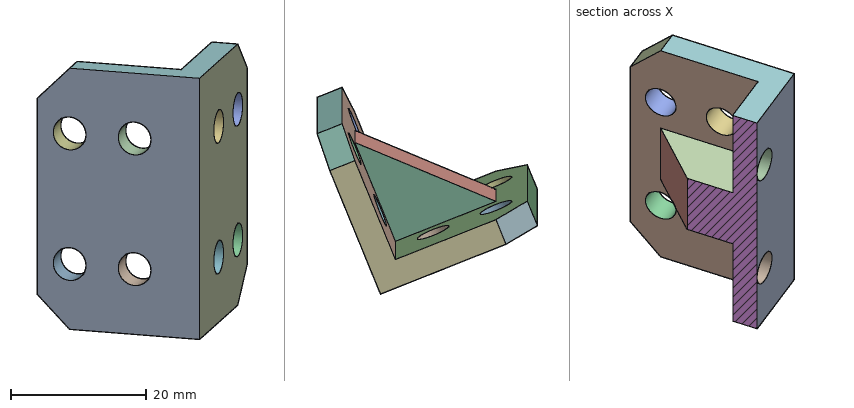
import cadquery as cq

height = 40.0
leg = 25.0
thickness = 4.0
corner_cut = 5.0

hole_diameter = 5.0
hole_edge_distance = 5.0
hole_spacing_across = 10.0
hole_spacing_along = 20.0

gusset_height = 10.0
gusset_leg = leg - thickness - corner_cut


def front_plate():
    """Plate in the XZ plane, free edge at X = 0, outer face at Y = 0."""
    outline = [
        (corner_cut, 0),
        (leg, 0),
        (leg, height),
        (corner_cut, height),
        (0, height - corner_cut),
        (0, corner_cut),
    ]
    plate = cq.Workplane("XZ").polyline(outline).close().extrude(-thickness)
    hole_centers = [
        (hole_edge_distance + across, height / 2 + along)
        for across in (0, hole_spacing_across)
        for along in (-hole_spacing_along / 2, hole_spacing_along / 2)
    ]
    holes = (
        cq.Workplane("XZ")
        .pushPoints(hole_centers)
        .circle(hole_diameter / 2)
        .extrude(-thickness)
    )
    return plate.cut(holes)


def side_plate():
    """Front plate mirrored across the diagonal plane through the corner."""
    corner = (leg, 0, 0)
    turned = front_plate().rotate(corner, (leg, 0, 1), -90)
    return turned.mirror("YZ", corner)


def gusset():
    """Right triangular block centred on the bracket height."""
    inner_x = leg - thickness
    return (
        cq.Workplane("XY")
        .workplane(offset=(height - gusset_height) / 2)
        .moveTo(inner_x, thickness)
        .lineTo(inner_x - gusset_leg, thickness)
        .lineTo(inner_x, thickness + gusset_leg)
        .close()
        .extrude(gusset_height)
    )


result = front_plate().union(side_plate()).union(gusset())